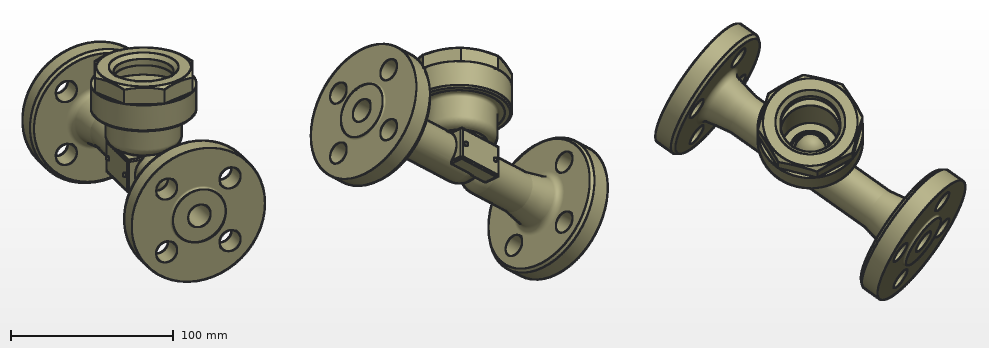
import cadquery as cq
import math

total_length = 175.0
total_height = 108.5
half_length = total_length / 2

pipe_radius = 27.0 / 2
flange_radius = 89.0 / 2
flange_back_x = 71.5
flange_chamfer_length = 2.3
flange_chamfer_height = 1.8
face_height = 1.5
face_radius = 17.7
face_fillet = 1.4
flange_front_x = half_length - face_height
taper_start_x = 51.6
taper_end_x = 67.9
taper_end_radius = 16.6
bore_radius = 15.0 / 2
bore_depth = 66.5
bolt_hole_diameter = 14.0
bolt_pitch = 42.4
right_pipe_x = 20.3

plate_width = 33.8
plate_height = 21.9
plate_front_y = -18.0
plate_back_y = -7.0
plate_chamfer = 1.0
rivet_radius = 1.4
rivet_spacing = 26.6

cup_radius = 47.0 / 2
cup_bottom_z = 12.8
cup_bottom_round = 6.0
cup_root_height = cup_bottom_z
collar_radius = 51.0 / 2
collar_round = collar_radius - cup_radius
spigot_radius = 56.0 / 2
spigot_top_z = 46.0
cavity_radius = 37.0 / 2
cavity_floor_z = 17.8

seat_radius = 25.0 / 2
seat_height = 1.8
bead_outer_radius = 23.0 / 2
bead_thickness = 1.8
dome_radius = bead_outer_radius - bead_thickness

nut_radius = 65.0 / 2
nut_bottom_z = 34.6
nut_top_z = total_height - flange_radius
nut_sides = 8
nut_flats_z = 52.7
nut_lip_z = 56.7
nut_bottom_chamfer = 1.2
nut_top_radius = 58.1 / 2
nut_top_chamfer_height = 1.8
nut_hole_chamfer = 3.0


def revolve_about_x(profile):
    return profile.close().revolve(360, (0, 0, 0), (1, 0, 0))


def revolve_about_z(profile):
    return profile.close().revolve(360, (0, 0, 0), (0, 1, 0))


def pipe_end(inner_x):
    """Pipe from inner_x to the flange on the +X side, with a spherical inner end."""
    taper_angle = math.atan2(taper_end_radius - pipe_radius, taper_end_x - taper_start_x)
    fillet_radius = (flange_back_x - taper_end_x) / (1 - math.sin(taper_angle))
    fillet_top_radius = taper_end_radius + fillet_radius * math.cos(taper_angle)
    body = revolve_about_x(
        cq.Workplane("XY")
        .moveTo(inner_x - pipe_radius, 0)
        .radiusArc((inner_x, pipe_radius), pipe_radius)
        .lineTo(taper_start_x, pipe_radius)
        .lineTo(taper_end_x, taper_end_radius)
        .tangentArcPoint((flange_back_x, fillet_top_radius), relative=False)
        .lineTo(flange_back_x, flange_radius - flange_chamfer_height)
        .lineTo(flange_back_x + flange_chamfer_length, flange_radius)
        .lineTo(flange_front_x, flange_radius)
        .lineTo(flange_front_x, face_radius + face_fillet)
        .radiusArc((flange_front_x + face_fillet, face_radius), -face_fillet)
        .lineTo(half_length, face_radius)
        .lineTo(half_length, 0)
    )
    bolt_holes = (
        cq.Workplane("YZ", origin=(flange_back_x, 0, 0))
        .rect(bolt_pitch, bolt_pitch, forConstruction=True)
        .vertices()
        .circle(bolt_hole_diameter / 2)
        .extrude(half_length - flange_back_x)
    )
    return body.cut(bolt_holes)


def pipe_bore():
    return cq.Workplane("YZ", origin=(half_length, 0, 0)).circle(bore_radius).extrude(-bore_depth)


def name_plate():
    depth = plate_back_y - plate_front_y
    block = (
        cq.Workplane("XY")
        .box(plate_width, depth, plate_height)
        .translate((0, plate_front_y + depth / 2, 0))
        .edges("<Y or |Y")
        .chamfer(plate_chamfer)
    )
    for side in (-1, 1):
        rivet = cq.Workplane("XY").sphere(rivet_radius)
        block = block.union(rivet.translate((side * rivet_spacing / 2, plate_front_y, 0)))
    return block


def cup():
    root_radius = cup_radius - cup_bottom_round
    return revolve_about_z(
        cq.Workplane("XZ")
        .moveTo(0, cup_bottom_z - cup_root_height)
        .lineTo(root_radius - cup_root_height, cup_bottom_z - cup_root_height)
        .lineTo(root_radius, cup_bottom_z)
        .radiusArc((cup_radius, cup_bottom_z + cup_bottom_round), -cup_bottom_round)
        .lineTo(cup_radius, nut_bottom_z - collar_round)
        .radiusArc((collar_radius, nut_bottom_z), collar_round)
        .lineTo(spigot_radius, nut_bottom_z)
        .lineTo(spigot_radius, spigot_top_z)
        .lineTo(0, spigot_top_z)
    )


def cavity():
    depth = spigot_top_z - cavity_floor_z
    return cq.Workplane("XY", origin=(0, 0, cavity_floor_z)).circle(cavity_radius).extrude(depth)


def domed_seat():
    seat_top_z = cavity_floor_z + seat_height
    bead_radius = bead_thickness / 2
    return revolve_about_z(
        cq.Workplane("XZ")
        .moveTo(0, cavity_floor_z)
        .lineTo(seat_radius, cavity_floor_z)
        .lineTo(seat_radius, seat_top_z)
        .lineTo(bead_outer_radius, seat_top_z)
        .radiusArc((dome_radius, seat_top_z), -bead_radius)
        .radiusArc((0, seat_top_z + dome_radius), -dome_radius)
    )


def make_housing():
    right_pipe = pipe_end(right_pipe_x)
    left_pipe = pipe_end(0).mirror("YZ")
    bore = pipe_bore()
    body = left_pipe.union(right_pipe).union(cup()).union(name_plate())
    return body.cut(cavity()).union(domed_seat()).cut(bore).cut(bore.mirror("YZ"))


def make_nut():
    turned = revolve_about_z(
        cq.Workplane("XZ")
        .moveTo(spigot_radius, nut_bottom_z)
        .lineTo(nut_radius - nut_bottom_chamfer, nut_bottom_z)
        .lineTo(nut_radius, nut_bottom_z + nut_bottom_chamfer)
        .lineTo(nut_radius, nut_top_z - nut_top_chamfer_height)
        .lineTo(nut_top_radius, nut_top_z)
        .lineTo(cavity_radius + nut_hole_chamfer, nut_top_z)
        .lineTo(cavity_radius, nut_top_z - nut_hole_chamfer)
        .lineTo(cavity_radius, nut_lip_z)
        .lineTo(spigot_radius, nut_lip_z)
    )
    outside_flats = (
        cq.Workplane("XY", origin=(0, 0, nut_flats_z))
        .circle(2 * nut_radius)
        .polygon(nut_sides, 2 * nut_radius)
        .extrude(nut_top_z - nut_flats_z)
    )
    return turned.cut(outside_flats)


housing = make_housing()
nut = make_nut()
result = cq.Compound.makeCompound([housing.val(), nut.val()])